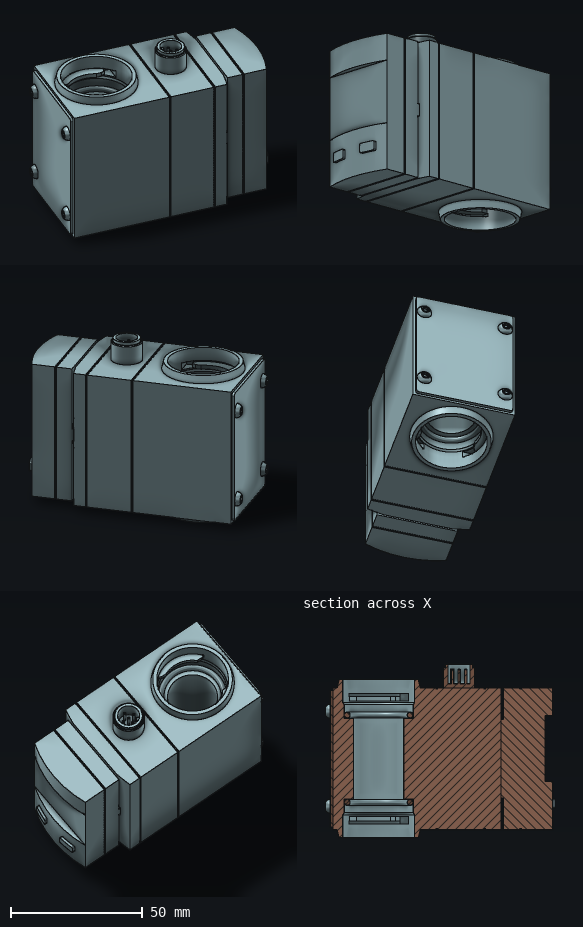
import cadquery as cq
import math


width = 40.3
height = 54.0
front_y = -40.8
shoulder_y = 21.9
flat_y = 23.2
crown_radius = 87.1
groove_width = 0.5
groove_depth = 0.4
housing_groove_ys = (-1.3, 16.9)

port_y = -23.35
collar_height = 3.05
collar_base_diameter = 31.7
collar_tip_diameter = 30.2
flow_diameter = 19.0
socket_diameter = 27.2
seal_bore_diameter = 26.1
lug_inner_diameter = 23.0
lug_groove_diameter = 30.5
lug_groove_depth = 5.3
lug_top_depth = 6.45
lug_bottom_depth = 8.1
cone_top_depth = 8.7
cone_bottom_depth = 9.6
floor_depth = 14.6
rear_gap_half_width = 10.6
rear_flare_start = 6.45
rear_flare_half_width = 11.3
rear_slot_half_width = 13.9
rear_slot_near = 8.0
rear_slot_far = 11.2
front_gap_half_width = 7.9
seal_wire_diameter = 2.3

head_width = 31.9
head_front_y = 23.9
head_shoulder_y = 39.9
head_crown_y = 42.7
head_groove_y = 30.5
neck_diameter = 30.1
tab_width = 4.9
tab_thickness = 1.1
tab_end_y = 23.1
window_top_z = 16.3
window_bottom_z = -8.5

key_center_x = 7.9
key_center_z = -17.0
key_length = 6.7
key_width = 3.75
key_corner_radius = 0.6
key_top_y = 43.6

connector_y = 7.15
connector_diameter = 12.0
connector_height = 8.9
connector_chamfer = 0.35
lip_diameter = 10.5
lip_height = 1.2
connector_bore_diameter = 8.3
connector_bore_depth = 7.4
pin_diameter = 1.0
pin_chamfer = 0.3
pin_circle_radius = 2.5
outer_pin_count = 4
pin_top_depth = 1.9
key_rib_diameter = 1.5
key_rib_radius = 3.7
key_rib_angle = 225

plate_width = 38.1
plate_height = 52.1
plate_thickness = 1.05
plate_corner_radius = 1.05

screw_x = 15.95
screw_z = 18.0
screw_head_diameter = 5.7
screw_tip_diameter = 3.3
screw_head_height = 1.7
drive_diameter = 2.1
drive_lobe_diameter = 0.5
drive_lobe_count = 6
drive_depth = 0.9
drive_cone_depth = 0.4

top_z = height / 2
collar_top_z = top_z + collar_height
plate_front_y = front_y - plate_thickness
crown_sag = head_crown_y - head_shoulder_y
head_crown_radius = ((head_width / 2) ** 2 + crown_sag**2) / (2 * crown_sag)
key_inner_x = key_center_x - key_length / 2
crown_drop_at_key = head_crown_radius - math.sqrt(head_crown_radius**2 - key_inner_x**2)
key_rise = key_top_y - (head_crown_y - crown_drop_at_key)


def box(x_range, y_range, z_range):
    """Box between the given limits on each axis."""
    size = [high - low for low, high in (x_range, y_range, z_range)]
    corner = (x_range[0], y_range[0], z_range[0])
    return cq.Workplane("XY").box(*size, centered=False).translate(corner)


def centered_box(x_size, y_range, z_size):
    return box((-x_size / 2, x_size / 2), y_range, (-z_size / 2, z_size / 2))


def disc(diameter, y, z_bottom, z_top):
    """Cylinder along Z, centred on X."""
    return cq.Workplane("XY", origin=(0, y, z_bottom)).circle(diameter / 2).extrude(z_top - z_bottom)


def seam_groove(body_width, y):
    """Shallow groove that runs around the four long faces of a block."""
    y_range = (y - groove_width / 2, y + groove_width / 2)
    outside = centered_box(body_width, y_range, height)
    core = centered_box(body_width - 2 * groove_depth, y_range, height - 2 * groove_depth)
    return outside.cut(core)


def cone(bottom_diameter, top_diameter, z_bottom, z_top):
    """Cone frustum on the port axis."""
    return (
        cq.Workplane("XY", origin=(0, port_y, z_bottom))
        .circle(bottom_diameter / 2)
        .workplane(offset=z_top - z_bottom)
        .circle(top_diameter / 2)
        .loft()
    )


def bayonet_gaps(z_bottom, z_top):
    """Spaces between the two bayonet lugs: a wide one behind and a narrow one in front."""
    reach = socket_diameter / 2
    rear = box((-rear_gap_half_width, rear_gap_half_width), (port_y, port_y + reach), (z_bottom, z_top))
    front = box((-front_gap_half_width, front_gap_half_width), (port_y - reach, port_y), (z_bottom, z_top))
    inside_socket = rear.union(front).intersect(disc(socket_diameter, port_y, z_bottom, z_top))

    right_side = [
        (rear_gap_half_width, 0),
        (rear_gap_half_width, rear_flare_start),
        (rear_flare_half_width, rear_slot_near),
        (rear_slot_half_width, rear_slot_near),
        (rear_slot_half_width, rear_slot_far),
    ]
    left_side = [(-x, y) for x, y in reversed(right_side)]
    rear_slot = (
        cq.Workplane("XY", origin=(0, port_y, z_bottom))
        .polyline(right_side + left_side)
        .close()
        .extrude(z_top - z_bottom)
    )
    return inside_socket.union(rear_slot)


def port_cavity():
    """Stepped socket of the upper port, down to the seal floor."""
    groove_top_z = collar_top_z - lug_groove_depth
    lug_top_z = collar_top_z - lug_top_depth
    lug_bottom_z = collar_top_z - lug_bottom_depth
    cone_top_z = collar_top_z - cone_top_depth
    cone_bottom_z = collar_top_z - cone_bottom_depth
    floor_z = collar_top_z - floor_depth
    lug_groove = disc(lug_groove_diameter, port_y, lug_top_z, groove_top_z).intersect(
        centered_box(lug_groove_diameter, (port_y - rear_slot_far, port_y + rear_slot_far), 2 * collar_top_z)
    )
    return (
        disc(socket_diameter, port_y, lug_top_z, collar_top_z)
        .union(lug_groove)
        .union(disc(lug_inner_diameter, port_y, lug_bottom_z, lug_top_z))
        .union(bayonet_gaps(lug_bottom_z, groove_top_z))
        .union(disc(socket_diameter, port_y, cone_top_z, lug_bottom_z))
        .union(cone(seal_bore_diameter, socket_diameter, cone_bottom_z, cone_top_z))
        .union(disc(seal_bore_diameter, port_y, floor_z, cone_bottom_z))
    )


def make_housing():
    half_width = width / 2
    arc_center_y = shoulder_y - math.sqrt(crown_radius**2 - half_width**2)
    flat_edge_x = math.sqrt(crown_radius**2 - (flat_y - arc_center_y) ** 2)
    mid_x = (half_width + flat_edge_x) / 2
    mid_y = arc_center_y + math.sqrt(crown_radius**2 - mid_x**2)
    body = (
        cq.Workplane("XY", origin=(0, 0, -top_z))
        .moveTo(-half_width, front_y)
        .lineTo(half_width, front_y)
        .lineTo(half_width, shoulder_y)
        .threePointArc((mid_x, mid_y), (flat_edge_x, flat_y))
        .lineTo(-flat_edge_x, flat_y)
        .threePointArc((-mid_x, mid_y), (-half_width, shoulder_y))
        .close()
        .extrude(height)
    )
    for y in housing_groove_ys:
        body = body.cut(seam_groove(width, y))
    upper_collar = cone(collar_base_diameter, collar_tip_diameter, top_z, collar_top_z)
    upper_cavity = port_cavity()
    body = body.union(upper_collar).union(upper_collar.mirror("XY"))
    body = body.cut(upper_cavity).cut(upper_cavity.mirror("XY"))
    return body.cut(disc(flow_diameter, port_y, -collar_top_z, collar_top_z))


def make_seal():
    """O-ring on the floor of the upper port."""
    wire_radius = seal_wire_diameter / 2
    ring_radius = seal_bore_diameter / 2 - wire_radius
    z = collar_top_z - floor_depth + wire_radius
    return cq.Workplane("XY").add(
        cq.Solid.makeTorus(ring_radius, wire_radius, cq.Vector(0, port_y, z), cq.Vector(0, 0, 1))
    )


def crown_block(rise):
    """Head block whose rear crown arc is moved outward by the given rise."""
    half_width = head_width / 2
    return (
        cq.Workplane("XY", origin=(0, 0, -top_z))
        .moveTo(-half_width, head_front_y)
        .lineTo(half_width, head_front_y)
        .lineTo(half_width, head_shoulder_y + rise)
        .threePointArc((0, head_crown_y + rise), (-half_width, head_shoulder_y + rise))
        .close()
        .extrude(height)
    )


def make_head():
    head = crown_block(0).cut(seam_groove(head_width, head_groove_y))

    window = box(
        (-head_width / 2, head_width / 2),
        (head_shoulder_y, head_crown_y),
        (window_bottom_z, window_top_z),
    )
    head = head.cut(window)

    for side in (-1, 1):
        key_column = (
            box(
                (side * key_center_x - key_length / 2, side * key_center_x + key_length / 2),
                (head_shoulder_y, head_crown_y + key_rise),
                (key_center_z - key_width / 2, key_center_z + key_width / 2),
            )
            .edges("|Y")
            .fillet(key_corner_radius)
        )
        head = head.union(key_column.intersect(crown_block(key_rise)))

    neck = (
        cq.Workplane("XZ", origin=(0, head_front_y, 0))
        .circle(neck_diameter / 2)
        .extrude(head_front_y - flat_y)
    )
    head = head.union(neck)

    tab_outer_x = head_width / 2
    for side in (-1, 1):
        x_range = sorted((side * tab_outer_x, side * (tab_outer_x - tab_thickness)))
        tab = box(x_range, (tab_end_y, head_front_y), (-tab_width / 2, tab_width / 2))
        head = head.union(tab)
    return head


def make_connector():
    tip_z = top_z + connector_height
    shell_top_z = tip_z - lip_height
    floor_z = tip_z - connector_bore_depth
    shell = disc(connector_diameter, connector_y, top_z, shell_top_z).faces(">Z").chamfer(connector_chamfer)
    lip = disc(lip_diameter, connector_y, top_z, tip_z)
    bore = disc(connector_bore_diameter, connector_y, floor_z, tip_z)
    connector = shell.union(lip).cut(bore)

    pin_height = connector_bore_depth - pin_top_depth
    pins = (
        cq.Workplane("XY", origin=(0, connector_y, floor_z))
        .polarArray(pin_circle_radius, 0, 360, outer_pin_count)
        .circle(pin_diameter / 2)
        .extrude(pin_height)
        .faces(">Z")
        .chamfer(pin_chamfer)
    )
    center_pin = (
        disc(pin_diameter, connector_y, floor_z, floor_z + pin_height)
        .faces(">Z")
        .chamfer(pin_chamfer)
    )
    key_rib = (
        cq.Workplane("XY", origin=(0, connector_y, floor_z))
        .polarArray(key_rib_radius, key_rib_angle, 360, 1)
        .circle(key_rib_diameter / 2)
        .extrude(pin_height)
    )
    return connector.union(pins).union(center_pin).union(key_rib)


def make_plate():
    return (
        centered_box(plate_width, (plate_front_y, front_y), plate_height)
        .edges("|Y")
        .fillet(plate_corner_radius)
    )


def make_screw(x, z):
    """Domed screw head with a six-lobe drive that ends in a cone."""
    base_radius = screw_head_diameter / 2
    tip_radius = screw_tip_diameter / 2
    center_height = (tip_radius**2 + screw_head_height**2 - base_radius**2) / (2 * screw_head_height)
    dome_radius = math.hypot(base_radius, center_height)
    mid_height = screw_head_height / 2
    mid_radius = math.sqrt(dome_radius**2 - (mid_height - center_height) ** 2)
    dome = (
        cq.Workplane("XZ")
        .lineTo(base_radius, 0)
        .threePointArc((mid_radius, mid_height), (tip_radius, screw_head_height))
        .lineTo(0, screw_head_height)
        .close()
        .revolve(360, (0, 0), (0, 1))
    )
    drive_radius = drive_diameter / 2
    drive_floor = screw_head_height - drive_depth
    drive = cq.Workplane("XY", origin=(0, 0, drive_floor)).circle(drive_radius).extrude(drive_depth)
    lobes = (
        cq.Workplane("XY", origin=(0, 0, drive_floor))
        .polarArray(drive_radius, 0, 360, drive_lobe_count)
        .circle(drive_lobe_diameter / 2)
        .extrude(drive_depth)
    )
    drive_tip = cq.Workplane("XY").add(
        cq.Solid.makeCone(0, drive_radius, drive_cone_depth, cq.Vector(0, 0, drive_floor - drive_cone_depth))
    )
    screw = dome.cut(drive.union(lobes).union(drive_tip))
    return screw.rotate((0, 0, 0), (1, 0, 0), 90).translate((x, plate_front_y, z))


housing = make_housing()
upper_seal = make_seal()
lower_seal = upper_seal.mirror("XY")
head = make_head()
connector = make_connector()
plate = make_plate()
screws = [make_screw(x, z) for x in (-screw_x, screw_x) for z in (-screw_z, screw_z)]

result = cq.Compound.makeCompound(
    [
        housing.val(),
        upper_seal.val(),
        lower_seal.val(),
        head.val(),
        connector.val(),
        plate.val(),
        *[screw.val() for screw in screws],
    ]
)